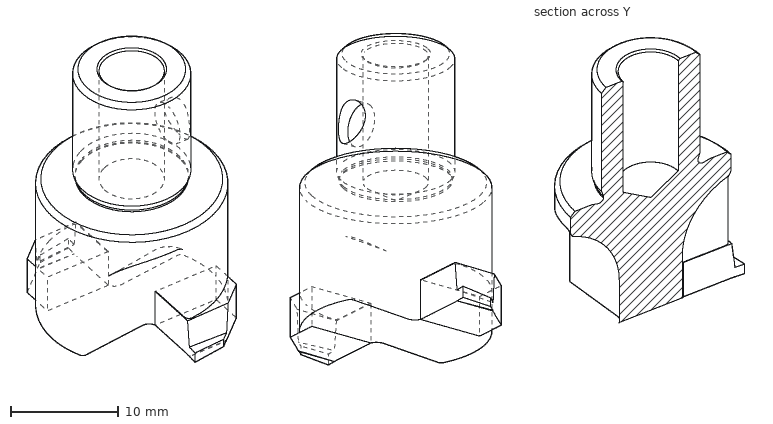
import cadquery as cq
import math

head_radius = 9.0
head_height = 15.0
shank_radius = 5.53
total_height = 28.0
rim_chamfer = 0.5

relief_top = 16.08
relief_taper_end = 15.43
relief_arc_start = 15.23
relief_neck_radius = 5.3
relief_floor_radius = 5.95
relief_outer_radius = 6.6
relief_floor_height = 14.85

bore_radius = 3.05
bore_chamfer = 0.2
bore_bottom = head_height
drill_point_angle = 118.0

side_recess_height = 19.8
side_recess_radius = 2.1
side_recess_depth = 1.5

tooth_count = 2
pocket_wall_y = 0.17
pocket_corner_x = 3.0
pocket_draft = 6.0
pocket_straight_height = 5.0
pocket_runout_radius = 8.0
pocket_corner_fillet = 1.0
pocket_mouth_fillet = 0.5

insert_height = 4.0
insert_inner_x = 3.73
insert_rake_y = 0.1
insert_rake_bend_x = 8.97
insert_back_y = 7.0
insert_back_corner_x = 7.1
tip_radius = 10.5
tip_heel = (10.1, 3.5)
tip_thickness = 1.12
shoulder_top_x = 9.13
shoulder_bottom_x = 9.46
shoulder_relief_angle = 1.0
tip_top_relief_angle = 3.0
tip_bottom_relief_angle = 1.0

clearance = 2.0

edge_tolerance = 0.01


def revolve_profile(profile):
    """Solid of revolution from a profile whose local vertical axis is the axis of revolution."""
    return profile.close().revolve(360, (0, 0, 0), (0, 1, 0))


def make_blank():
    """Head and shank as one turned shape, with the relief groove between them."""
    shank_top_radius = shank_radius - rim_chamfer
    head_top_radius = head_radius - rim_chamfer
    outline = (
        cq.Workplane("XZ")
        .lineTo(head_radius, 0)
        .lineTo(head_radius, head_height - rim_chamfer)
        .lineTo(head_top_radius, head_height)
        .lineTo(relief_outer_radius, head_height)
        .lineTo(relief_floor_radius, relief_floor_height)
        .tangentArcPoint((relief_neck_radius, relief_arc_start), relative=False)
        .lineTo(relief_neck_radius, relief_taper_end)
        .lineTo(shank_radius, relief_top)
        .lineTo(shank_radius, total_height - rim_chamfer)
        .lineTo(shank_top_radius, total_height)
        .lineTo(0, total_height)
    )
    return revolve_profile(outline).rotate((0, 0, 0), (0, 0, 1), -90)


def make_bore():
    """Chamfered blind bore with a drill-point bottom."""
    point_depth = bore_radius / math.tan(math.radians(drill_point_angle / 2))
    outline = (
        cq.Workplane("XZ")
        .moveTo(0, bore_bottom - point_depth)
        .lineTo(bore_radius, bore_bottom)
        .lineTo(bore_radius, total_height - bore_chamfer)
        .lineTo(bore_radius + bore_chamfer, total_height)
        .lineTo(0, total_height)
    )
    return revolve_profile(outline)


def make_side_recess():
    """Round blind recess in the +Y side of the shank."""
    return (
        cq.Workplane("XZ", origin=(0, shank_radius + clearance, side_recess_height))
        .circle(side_recess_radius)
        .extrude(side_recess_depth + clearance)
    )


def make_pocket():
    """Chip pocket on the +X, -Y side: a drafted floor that runs out upward on an arc."""
    arc_middle = pocket_runout_radius * math.sqrt(0.5)
    arc_center_x = pocket_corner_x + pocket_runout_radius
    outer_x = arc_center_x + pocket_runout_radius
    bottom = -pocket_straight_height
    pocket = (
        cq.Workplane("XZ", origin=(0, pocket_wall_y, 0))
        .moveTo(pocket_corner_x, bottom)
        .lineTo(pocket_corner_x, pocket_straight_height)
        .threePointArc(
            (arc_center_x - arc_middle, pocket_straight_height + arc_middle),
            (arc_center_x, pocket_straight_height + pocket_runout_radius),
        )
        .lineTo(outer_x, pocket_straight_height + pocket_runout_radius)
        .lineTo(outer_x, bottom)
        .close()
        .extrude(head_radius + clearance, taper=pocket_draft)
    )
    floor_corner = pocket.faces(">Y").edges("<X or (not %LINE)")
    return floor_corner.fillet(pocket_corner_fillet)


def insert_plan():
    """Plan outline of an insert, rake side toward -Y and tip toward +X."""
    return cq.Workplane("XY").polyline([
        (insert_inner_x, insert_rake_y),
        (insert_rake_bend_x, insert_rake_y),
        (tip_radius, 0),
        tip_heel,
        (insert_back_corner_x, insert_back_y),
        (insert_inner_x, insert_back_y),
    ]).close()


def make_insert():
    """Insert block with a sloped shoulder above a thin tip that narrows toward its heel."""
    block = insert_plan().extrude(insert_height)
    relief_length = insert_back_y + clearance
    outer_x = tip_radius + clearance
    cut_top = insert_height + clearance
    shoulder_slope = (shoulder_bottom_x - shoulder_top_x) / (insert_height - tip_thickness)
    shoulder_end_x = shoulder_top_x - clearance * shoulder_slope

    above_tip = (
        cq.Workplane("XZ")
        .moveTo(shoulder_bottom_x, tip_thickness)
        .lineTo(shoulder_end_x, cut_top)
        .lineTo(outer_x, cut_top)
        .lineTo(outer_x, tip_thickness)
        .close()
    )
    upper_cut = above_tip.extrude(relief_length, both=True)
    pivot = (shoulder_bottom_x, 0, tip_thickness)
    upper_cut = upper_cut.rotate(pivot, (shoulder_bottom_x + 1, 0, tip_thickness), -tip_top_relief_angle)
    upper_cut = upper_cut.rotate(pivot, (shoulder_bottom_x, 0, tip_thickness + 1), shoulder_relief_angle)

    lower_rise = relief_length * math.tan(math.radians(tip_bottom_relief_angle))
    lower_cut = (
        cq.Workplane("YZ", origin=(shoulder_bottom_x, 0, 0))
        .lineTo(relief_length, lower_rise)
        .lineTo(relief_length, 0)
        .close()
        .extrude(outer_x - shoulder_bottom_x)
    )
    return block.cut(upper_cut).cut(lower_cut)


def around_axis(shape):
    """Copies of a shape spaced evenly around the cutter axis."""
    step = 360 / tooth_count
    return [shape.rotate((0, 0, 0), (0, 0, 1), i * step) for i in range(tooth_count)]


def is_pocket_mouth(edge):
    """True for the edges where a pocket breaks through the round side of the head."""
    middle = edge.positionAt(0.5)
    on_side = math.isclose(math.hypot(middle.x, middle.y), head_radius, abs_tol=edge_tolerance)
    between_ends = edge_tolerance < middle.z < head_height - rim_chamfer - edge_tolerance
    on_seam = abs(middle.x) < edge_tolerance
    return on_side and between_ends and not on_seam


def make_cutter_body(inserts):
    """Head and shank with rounded pockets, bore, side recess and a seat for each insert."""
    body = make_blank()
    for pocket in around_axis(make_pocket()):
        body = body.cut(pocket)
    body = body.edges().filter(is_pocket_mouth).fillet(pocket_mouth_fillet)
    body = body.cut(make_bore()).cut(make_side_recess())
    for insert in inserts:
        body = body.cut(insert)
    return body


inserts = around_axis(make_insert())
cutter_body = make_cutter_body(inserts)

result = cq.Compound.makeCompound([cutter_body.val(), *[insert.val() for insert in inserts]])